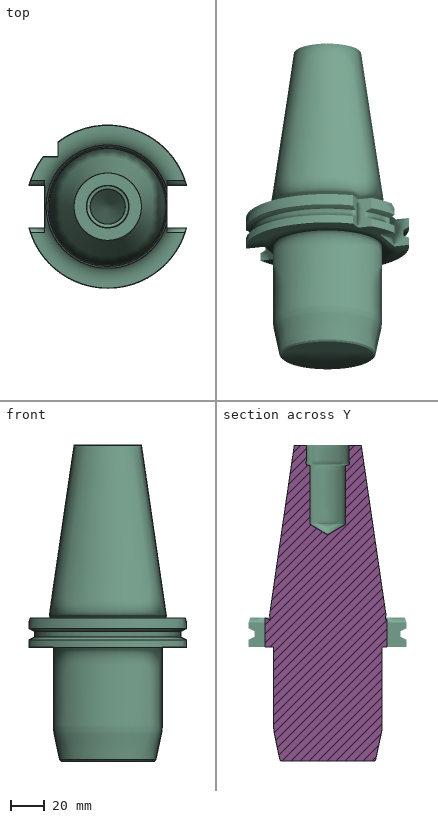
import cadquery as cq
import math

total_height = 188.6
flange_bottom = 67.9
flange_top = 85.6
taper_bottom = 87.1
land_bottom = 86.5

gauge_radius = 69.8 / 2
taper_rate = 7 / 24
taper_top_radius = gauge_radius - (total_height - taper_bottom) * taper_rate / 2

neck_radius = 69.2 / 2
relief_radius = 73.5 / 2
relief_floor_radius = 71.3 / 2
relief_depth = 0.8

flange_radius = 97.3 / 2
groove_radius = 90.7 / 2
groove_center = 75.8
groove_floor_width = 3.4
groove_mouth_width = 6.8

body_radius = 65.0 / 2
nose_angle = math.radians(12)
blend_top = 21.0
blend_height = 4.0
nose_chamfer = 1.0

slot_width = 25.3
slot_floor_left = -37.7
slot_floor_right = 35.5
slot_chamfer = 2.8

notch_x = -29.8
notch_y = 29.8

pilot_radius = 25.0 / 2
pilot_depth = 9.6
undercut_radius = 25.5 / 2
undercut_depth = 11.5
seat_depth = 12.3
drill_radius = 21.0 / 2
drill_depth = 47.2
drill_tip_angle = math.radians(118)


def make_body():
    """Revolve the outside of the holder."""
    blend_radius = blend_height / math.sin(nose_angle)
    blend_bottom = blend_top - blend_height
    blend_end_radius = body_radius - blend_radius * (1 - math.cos(nose_angle))
    blend_mid = (
        body_radius - blend_radius * (1 - math.cos(nose_angle / 2)),
        blend_top - blend_radius * math.sin(nose_angle / 2),
    )
    nose_radius = blend_end_radius - (blend_bottom - nose_chamfer) * math.tan(nose_angle)
    profile = (
        cq.Workplane("XZ")
        .lineTo(nose_radius - nose_chamfer, 0)
        .lineTo(nose_radius, nose_chamfer)
        .lineTo(blend_end_radius, blend_bottom)
        .threePointArc(blend_mid, (body_radius, blend_top))
        .lineTo(body_radius, flange_bottom)
        .lineTo(flange_radius, flange_bottom)
        .lineTo(flange_radius, groove_center - groove_mouth_width / 2)
        .lineTo(groove_radius, groove_center - groove_floor_width / 2)
        .lineTo(groove_radius, groove_center + groove_floor_width / 2)
        .lineTo(flange_radius, groove_center + groove_mouth_width / 2)
        .lineTo(flange_radius, flange_top)
        .lineTo(relief_radius, flange_top)
        .lineTo(relief_floor_radius, flange_top - relief_depth)
        .lineTo(neck_radius, flange_top - relief_depth)
        .lineTo(neck_radius, land_bottom)
        .lineTo(gauge_radius, land_bottom)
        .lineTo(gauge_radius, taper_bottom)
        .lineTo(taper_top_radius, total_height)
        .lineTo(0, total_height)
        .close()
    )
    return profile.revolve(360, (0, 0, 0), (0, 1, 0))


def make_slot(floor_x, side):
    """Drive slot from its floor outward; side is +1 for +X and -1 for -X."""
    half_width = slot_width / 2
    return (
        cq.Workplane("YZ", origin=(floor_x, 0, 0))
        .moveTo(-half_width, flange_bottom)
        .lineTo(half_width, flange_bottom)
        .lineTo(half_width, flange_top - slot_chamfer)
        .lineTo(half_width + slot_chamfer, flange_top)
        .lineTo(-half_width - slot_chamfer, flange_top)
        .lineTo(-half_width, flange_top - slot_chamfer)
        .close()
        .extrude(side * flange_radius)
    )


def make_notch():
    """Square cut removing the rim beyond the notch corner, toward -X and +Y."""
    flange_height = flange_top - flange_bottom
    return (
        cq.Workplane("XY", origin=(notch_x, notch_y, flange_bottom))
        .rect(-flange_radius, flange_radius, centered=False)
        .extrude(flange_height)
    )


def make_bore():
    """Pilot, undercut, conical seat and drilled hole with a conical tip."""
    tip_height = drill_radius / math.tan(drill_tip_angle / 2)
    profile = (
        cq.Workplane("XZ", origin=(0, 0, total_height))
        .lineTo(pilot_radius, 0)
        .lineTo(pilot_radius, -pilot_depth)
        .lineTo(undercut_radius, -pilot_depth)
        .lineTo(undercut_radius, -undercut_depth)
        .lineTo(drill_radius, -seat_depth)
        .lineTo(drill_radius, -drill_depth)
        .lineTo(0, -drill_depth - tip_height)
        .close()
    )
    return profile.revolve(360, (0, 0, 0), (0, 1, 0))


result = (
    make_body()
    .cut(make_slot(slot_floor_left, -1))
    .cut(make_slot(slot_floor_right, 1))
    .cut(make_notch())
    .cut(make_bore())
)